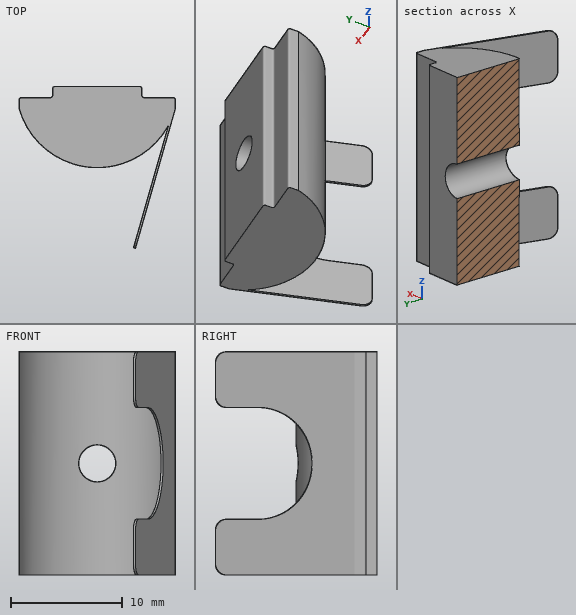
import cadquery as cq
import math

height = 20.0
body_width = 14.0
side_end_y = -2.0
rail_width = 8.0
rail_height = 1.0
edge_radius = 0.2

hole_diameter = 3.3

blade_length = 13.0
blade_thickness = 0.2
blade_corner_radius = 1.0
slot_width = 10.0
slot_depth = 9.0

half_width = body_width / 2
body_radius = math.hypot(half_width, side_end_y)
blade_angle = math.atan2(-side_end_y, half_width)


def make_body():
    half_rail = rail_width / 2
    outline = (
        cq.Workplane("XY")
        .workplane(offset=-height / 2)
        .moveTo(-half_rail, 0)
        .lineTo(half_rail, 0)
        .lineTo(half_rail, -rail_height)
        .lineTo(half_width, -rail_height)
        .lineTo(half_width, side_end_y)
        .threePointArc((0, -body_radius), (-half_width, side_end_y))
        .lineTo(-half_width, -rail_height)
        .lineTo(-half_rail, -rail_height)
        .close()
    )
    body = outline.extrude(height)
    clearance = edge_radius / 2
    rail_zone = cq.selectors.BoxSelector(
        (-body_width, -rail_height - clearance, -height),
        (body_width, clearance, height),
    )
    return body.edges("|Z").edges(rail_zone).fillet(edge_radius)


def make_blade():
    blade_plane = cq.Plane(
        origin=(half_width, side_end_y, 0),
        xDir=(-math.sin(blade_angle), -math.cos(blade_angle), 0),
        normal=(-math.cos(blade_angle), math.sin(blade_angle), 0),
    )
    sheet = (
        cq.Workplane(blade_plane)
        .center(blade_length / 2, 0)
        .rect(blade_length, height)
        .extrude(blade_thickness)
    )
    slot_radius = slot_width / 2
    slot_start = blade_length - slot_depth
    slot_centre = slot_start + slot_radius
    slot = (
        cq.Workplane(blade_plane)
        .moveTo(blade_length, slot_radius)
        .lineTo(slot_centre, slot_radius)
        .threePointArc((slot_start, 0), (slot_centre, -slot_radius))
        .lineTo(blade_length, -slot_radius)
        .close()
        .extrude(blade_thickness)
    )
    prongs = sheet.cut(slot)
    tip = blade_plane.toWorldCoords((blade_length, 0, 0))
    tip_zone = cq.selectors.BoxSelector(
        (tip.x - blade_corner_radius, tip.y - blade_corner_radius, -height),
        (tip.x + blade_corner_radius, tip.y + blade_corner_radius, height),
    )
    across_thickness = cq.selectors.ParallelDirSelector(blade_plane.zDir)
    return prongs.edges(across_thickness).edges(tip_zone).fillet(blade_corner_radius)


def make_hole():
    return (
        cq.Workplane("XZ")
        .circle(hole_diameter / 2)
        .extrude(body_radius)
    )


result = make_body().cut(make_hole()).union(make_blade())